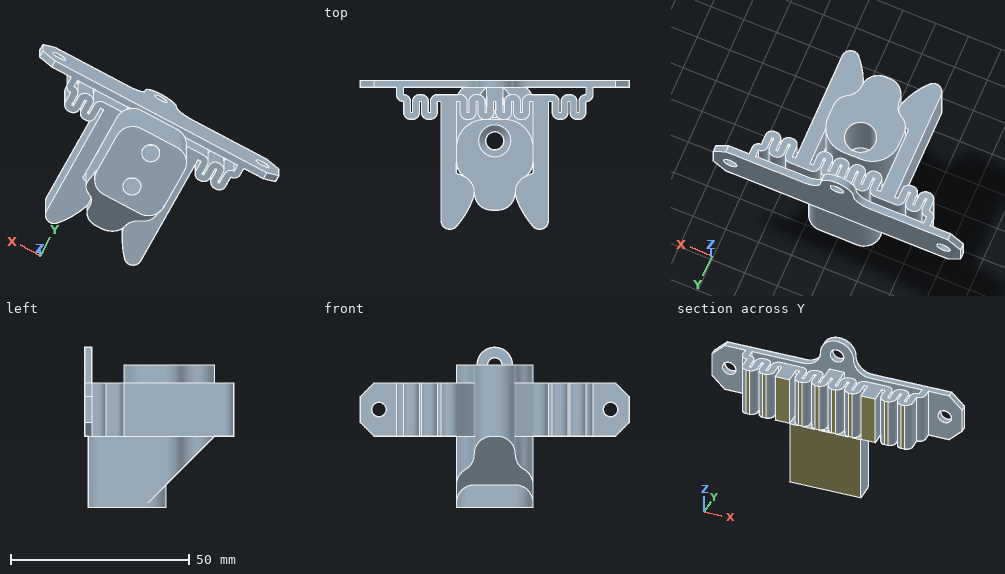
import cadquery as cq
import math


CLIP_BOTTOM = 20.0
CLIP_HEIGHT = 15.0
CLIP_TOP = CLIP_BOTTOM + CLIP_HEIGHT
POST_TOP = 40.0

PLATE_LENGTH = 75.5
PLATE_THICKNESS = 2.0
PLATE_CHAMFER = 3.9
PLATE_HOLE_D = 4.0
PLATE_HOLE_X = 32.5
EAR_RADIUS = 5.0
EAR_CENTER_Z = CLIP_TOP + EAR_RADIUS

LIMB = 2.0
SLOT = 0.5
PITCH = LIMB + SLOT
LIMB_LENGTH = 3.0
PLATE_GAP = 2.0
PLATE_FRONT = -PLATE_THICKNESS
BAND_BACK = PLATE_FRONT - PLATE_GAP
BAND_FRONT = BAND_BACK - LIMB
TURN_BACK = BAND_FRONT - LIMB_LENGTH
TURN_FRONT = TURN_BACK - LIMB

POST_HALF = 10.75
NECK_HALF = 5.75
POST_BACK = TURN_FRONT
POST_BACK_RADIUS = 8.0
POST_RADIUS = 5.0
NOSE_Y = -36.5
NECK_Y = NOSE_Y + POST_RADIUS
S_BEND_ANGLE = math.acos(1 - (POST_HALF - NECK_HALF) / (2 * POST_RADIUS))
SHOULDER_Y = NECK_Y + 2 * POST_RADIUS * math.sin(S_BEND_ANGLE)
S_BEND_MIDDLE = ((POST_HALF + NECK_HALF) / 2, (SHOULDER_Y + NECK_Y) / 2)

BASE_BACK = -1.0
BASE_FRONT = SHOULDER_Y
HEAD_D = 9.0
SHANK_D = 5.0
SCREW_YS = (-6.0, -17.0)
CONE_DEPTH = (HEAD_D - SHANK_D) / 2

ARM_INNER = POST_HALF
ARM_OUTER = 15.1
ARM_TO_TURN = 1.0
HOOK_BACK_Y = -26.1
LEAD_IN_ANGLE = math.radians(20)
TIP_RADIUS = 2.5
TIP_CENTER = (ARM_OUTER - TIP_RADIUS, -39.37)
HOOK_CENTER = (NECK_HALF + POST_RADIUS, NECK_Y)

INNER_TURN_X = SLOT / 2 + LIMB + SLOT / 2
INNER_BAND_X = INNER_TURN_X + 2 * PITCH + SLOT / 2
OUTER_TURN_X = ARM_OUTER + ARM_TO_TURN + LIMB + SLOT / 2
OUTER_BAND_X = OUTER_TURN_X - SLOT / 2
ANCHOR_X = OUTER_TURN_X + 2 * PITCH + SLOT / 2 + LIMB


def block(x0, x1, y0, y1, z0=CLIP_BOTTOM, z1=CLIP_TOP):
    """A box between two opposite corners."""
    return cq.Workplane("XY").box(x1 - x0, y1 - y0, z1 - z0, centered=False).translate((x0, y0, z0))


def polar(center, radius, angle):
    """The point at a distance and an angle from a center."""
    return (center[0] + radius * math.cos(angle), center[1] + radius * math.sin(angle))


def both_sides(body):
    """The body together with its mirror image across the YZ plane."""
    return body.union(body.mirror("YZ"))


def make_plate():
    plate_half = PLATE_LENGTH / 2
    plate = block(-plate_half, plate_half, PLATE_FRONT, 0).edges("|Y").chamfer(PLATE_CHAMFER)
    foot = 2 * EAR_RADIUS
    foot_middle_x = foot - EAR_RADIUS * math.sqrt(0.5)
    foot_middle_z = EAR_CENTER_Z - EAR_RADIUS * math.sqrt(0.5)
    ear = (
        cq.Workplane("XZ")
        .moveTo(-foot, CLIP_TOP)
        .threePointArc((-foot_middle_x, foot_middle_z), (-EAR_RADIUS, EAR_CENTER_Z))
        .threePointArc((0, EAR_CENTER_Z + EAR_RADIUS), (EAR_RADIUS, EAR_CENTER_Z))
        .threePointArc((foot_middle_x, foot_middle_z), (foot, CLIP_TOP))
        .close()
        .extrude(PLATE_THICKNESS)
    )
    middle_z = CLIP_BOTTOM + CLIP_HEIGHT / 2
    holes = (
        cq.Workplane("XZ")
        .pushPoints([(-PLATE_HOLE_X, middle_z), (PLATE_HOLE_X, middle_z), (0, EAR_CENTER_Z)])
        .circle(PLATE_HOLE_D / 2)
        .extrude(PLATE_THICKNESS)
    )
    return plate.union(ear).cut(holes)


def make_turn(x, at_front):
    """A U-turn of the spring: two limbs and their closed end, which has rounded outer corners."""
    half = SLOT / 2 + LIMB
    if at_front:
        turn = block(x - half, x + half, TURN_FRONT, BAND_FRONT).edges("|Z and <Y").fillet(LIMB)
    else:
        turn = block(x - half, x + half, TURN_BACK, BAND_BACK).edges("|Z and >Y").fillet(LIMB)
    return turn.cut(block(x - SLOT / 2, x + SLOT / 2, TURN_BACK, BAND_FRONT))


def make_side_spring():
    """The spring of the +X side, from the middle stem past the arm to the anchor on the plate."""
    spring = block(0, INNER_TURN_X - SLOT / 2, BAND_FRONT, PLATE_FRONT)
    for first_turn_x in (INNER_TURN_X, OUTER_TURN_X):
        for step in range(3):
            spring = spring.union(make_turn(first_turn_x + step * PITCH, at_front=step != 1))

    band = (
        cq.Workplane("XY")
        .workplane(offset=CLIP_BOTTOM)
        .moveTo(INNER_BAND_X, BAND_FRONT)
        .radiusArc((INNER_BAND_X + LIMB, BAND_BACK), LIMB)
        .lineTo(OUTER_BAND_X - LIMB, BAND_BACK)
        .radiusArc((OUTER_BAND_X, BAND_FRONT), LIMB)
        .close()
        .extrude(CLIP_HEIGHT)
    )
    anchor = (
        cq.Workplane("XY")
        .workplane(offset=CLIP_BOTTOM)
        .moveTo(ANCHOR_X - LIMB, BAND_FRONT)
        .radiusArc((ANCHOR_X, BAND_BACK), LIMB)
        .lineTo(ANCHOR_X, PLATE_FRONT)
        .lineTo(ANCHOR_X + LIMB, PLATE_FRONT)
        .lineTo(ANCHOR_X + LIMB, BAND_BACK)
        .radiusArc((ANCHOR_X, BAND_FRONT), LIMB)
        .close()
        .extrude(CLIP_HEIGHT)
    )
    return spring.union(band).union(anchor)


def hook_back_middle():
    """The middle of the shallow arc that runs on tangentially from the hook's round to the arm."""
    run = ARM_INNER - S_BEND_MIDDLE[0]
    rise = HOOK_BACK_Y - S_BEND_MIDDLE[1]
    chord_angle = math.atan2(rise, run)
    half_turn = math.pi / 2 - S_BEND_ANGLE - chord_angle
    sagitta = math.hypot(run, rise) / 2 * math.tan(half_turn / 2)
    chord_middle = (S_BEND_MIDDLE[0] + run / 2, S_BEND_MIDDLE[1] + rise / 2)
    return polar(chord_middle, sagitta, chord_angle + math.pi / 2)


def make_arm():
    """The +X arm: a straight finger with a hook that fits the neck and a curved lead-in."""
    inward = (math.cos(LEAD_IN_ANGLE), math.sin(LEAD_IN_ANGLE))
    offset = (HOOK_CENTER[0] - TIP_CENTER[0], HOOK_CENTER[1] - TIP_CENTER[1])
    along = offset[0] * inward[0] + offset[1] * inward[1]
    radius_step = POST_RADIUS - TIP_RADIUS
    reach = (math.hypot(*offset) ** 2 - radius_step ** 2) / (2 * (radius_step - along))
    lead_in_radius = reach + POST_RADIUS
    lead_in_center = polar(HOOK_CENTER, reach, LEAD_IN_ANGLE)

    start_angle = math.pi + LEAD_IN_ANGLE
    run = TIP_CENTER[0] - lead_in_center[0]
    rise = TIP_CENTER[1] - lead_in_center[1]
    end_angle = 2 * math.pi + math.atan2(rise, run)
    middle_angle = (start_angle + end_angle) / 2
    tip_middle_angle = (end_angle + 2 * math.pi) / 2
    hook_middle_angle = (math.pi - S_BEND_ANGLE + start_angle) / 2

    return (
        cq.Workplane("XY")
        .workplane(offset=CLIP_BOTTOM)
        .moveTo(*S_BEND_MIDDLE)
        .threePointArc(polar(HOOK_CENTER, POST_RADIUS, hook_middle_angle),
                       polar(HOOK_CENTER, POST_RADIUS, start_angle))
        .threePointArc(polar(lead_in_center, lead_in_radius, middle_angle),
                       polar(lead_in_center, lead_in_radius, end_angle))
        .threePointArc(polar(TIP_CENTER, TIP_RADIUS, tip_middle_angle), (ARM_OUTER, TIP_CENTER[1]))
        .lineTo(ARM_OUTER, BAND_FRONT)
        .lineTo(ARM_INNER, BAND_FRONT)
        .lineTo(ARM_INNER, HOOK_BACK_Y)
        .threePointArc(hook_back_middle(), S_BEND_MIDDLE)
        .close()
        .extrude(CLIP_HEIGHT)
    )


def make_clip():
    return make_plate().union(both_sides(make_side_spring().union(make_arm())))


def make_keyed_block(back_y, back_radius, bottom, top):
    """A broad block that narrows through S-shaped shoulders and a neck to a round nose."""
    half = (
        cq.Workplane("XY")
        .workplane(offset=bottom)
        .moveTo(0, back_y)
        .lineTo(POST_HALF - back_radius, back_y)
        .radiusArc((POST_HALF, back_y - back_radius), back_radius)
        .lineTo(POST_HALF, SHOULDER_Y)
        .radiusArc(S_BEND_MIDDLE, POST_RADIUS)
        .radiusArc((NECK_HALF, NECK_Y), -POST_RADIUS)
        .radiusArc((NECK_HALF - POST_RADIUS, NOSE_Y), POST_RADIUS)
        .lineTo(0, NOSE_Y)
        .close()
        .extrude(top - bottom)
    )
    return both_sides(half)


def make_below_slope():
    """The space under the 45 degree face that rises toward the nose, up to the clip's underside."""
    return (
        cq.Workplane("YZ")
        .polyline([(NOSE_Y, CLIP_BOTTOM), (NOSE_Y, 0), (NOSE_Y + CLIP_BOTTOM, 0)])
        .close()
        .extrude(POST_HALF, both=True)
    )


def make_screw_hole(y):
    """Shank hole and 90 degree countersink below the clip, with room for the head above."""
    cone_bottom = CLIP_BOTTOM - CONE_DEPTH
    return (
        cq.Workplane("XZ")
        .polyline([
            (0, 0),
            (SHANK_D / 2, 0),
            (SHANK_D / 2, cone_bottom),
            (HEAD_D / 2, CLIP_BOTTOM),
            (HEAD_D / 2, POST_TOP),
            (0, POST_TOP),
        ])
        .close()
        .revolve(360, (0, 0, 0), (0, 1, 0))
        .translate((0, y, 0))
    )


def make_post():
    column = make_keyed_block(POST_BACK, POST_BACK_RADIUS, CLIP_BOTTOM, POST_TOP)
    bracket = make_keyed_block(BASE_BACK, POST_RADIUS, 0, CLIP_BOTTOM).cut(make_below_slope())
    base = block(-POST_HALF, POST_HALF, BASE_FRONT, BASE_BACK, 0, CLIP_BOTTOM)
    base = base.edges("|Z").fillet(POST_RADIUS)
    post = column.union(bracket).union(base)
    for y in SCREW_YS:
        post = post.cut(make_screw_hole(y))
    return post


clip = make_clip()
post = make_post()
result = cq.Compound.makeCompound([*clip.solids().vals(), *post.solids().vals()])